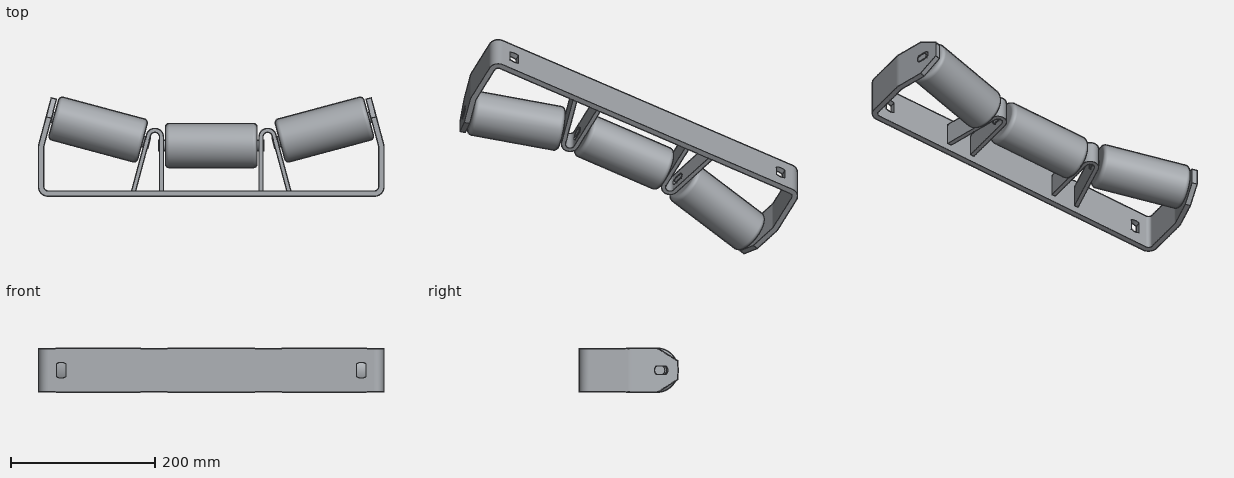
import cadquery as cq
import math

TILT = 15.0
SIN_TILT = math.sin(math.radians(TILT))
COS_TILT = math.cos(math.radians(TILT))

FRAME_LENGTH = 480.0
STRIP_WIDTH = 60.0
FRAME_THICKNESS = 7.5
CORNER_RADIUS = 13.5
BEND_RADIUS = 18.5
BEND_START_Y = 68.0
ARM_LENGTH = 66.0
TIP_WIDTH = 26.5
TIP_TAPER = 27.5

MOUNT_DIAMETER = 22.0
MOUNT_WIDTH = 13.0
MOUNT_X = 208.5

ROLLER_DIAMETER = 62.0
ROLLER_LENGTH = 127.5
ROLLER_ROUNDING = 6.0
SHAFT_DIAMETER = 15.0
SHAFT_FLATS = 11.5
SHAFT_LENGTH = 147.0
END_GAP = 2.5
CENTER_ROLLER_Y = 70.5
SIDE_ROLLER_OFFSET = 49.0

SLOT_TRAVEL = 4.5
SLOT_REACH = 77.0

BRACKET_WIDTH = 36.5
BRACKET_THICKNESS = 6.0
HAIRPIN_RADIUS = 12.0
HAIRPIN_Y = 82.5

HALF_LENGTH = FRAME_LENGTH / 2
BEND_X = -HALF_LENGTH + BEND_RADIUS
HAIRPIN_X = -(ROLLER_LENGTH / 2 + END_GAP + HAIRPIN_RADIUS)


def along_axis(x, y):
    """Distance of a point along the left roller's axis, outward from the origin."""
    return -x * COS_TILT + y * SIN_TILT


def from_bend(radius, rise=0.0):
    """Point on the tilted arm, at a radius from the bend centre and a rise along the arm."""
    x = BEND_X - radius * COS_TILT + rise * SIN_TILT
    y = BEND_START_Y + radius * SIN_TILT + rise * COS_TILT
    return (x, y)


ARM_INNER_RADIUS = BEND_RADIUS - FRAME_THICKNESS
ARM_FACE = along_axis(BEND_X, BEND_START_Y) + ARM_INNER_RADIUS
LEG_FACE = along_axis(HAIRPIN_X, HAIRPIN_Y) + HAIRPIN_RADIUS
SIDE_ROLLER_AXIAL = (ARM_FACE + LEG_FACE) / 2
SIDE_ROLLER_X = -SIDE_ROLLER_AXIAL * COS_TILT + SIDE_ROLLER_OFFSET * SIN_TILT
SIDE_ROLLER_Y = SIDE_ROLLER_AXIAL * SIN_TILT + SIDE_ROLLER_OFFSET * COS_TILT

LEFT_STATION = (-TILT, SIDE_ROLLER_X, SIDE_ROLLER_Y)
CENTER_STATION = (0.0, 0.0, CENTER_ROLLER_Y)
RIGHT_STATION = (TILT, -SIDE_ROLLER_X, SIDE_ROLLER_Y)


def place(shape, station):
    """Move a shape built along X at the origin to a roller station."""
    angle, x, y = station
    return shape.rotate((0, 0, 0), (0, 0, 1), angle).translate((x, y, 0))


def extrude_strip(outline, width):
    """Extrude an open XY outline over a width in Z, centred on Z = 0."""
    return outline.close().extrude(width / 2, both=True)


def mirror_x(shape):
    """Mirror a left-hand shape to the right (+X) side."""
    return shape.mirror("YZ")


def make_rod(diameter, length):
    """Round rod along X, centred on the origin."""
    return cq.Workplane("YZ", origin=(-length / 2, 0, 0)).circle(diameter / 2).extrude(length)


def make_roller():
    """Drum with rounded rims on a shaft whose ends carry two flats."""
    drum = make_rod(ROLLER_DIAMETER, ROLLER_LENGTH).edges("%CIRCLE").fillet(ROLLER_ROUNDING)

    shoulder = ROLLER_LENGTH + 2 * END_GAP
    shaft = make_rod(SHAFT_DIAMETER, SHAFT_LENGTH)
    flats = cq.Workplane("XY").box(SHAFT_LENGTH, SHAFT_DIAMETER, SHAFT_FLATS)
    round_part = cq.Workplane("XY").box(shoulder, SHAFT_DIAMETER, SHAFT_DIAMETER)
    shaft = shaft.intersect(flats.union(round_part))
    return drum.union(shaft)


def make_shaft_slot():
    """Cutter along X in which a shaft end rests at the lower (-Y) end of the slot."""
    slot = (
        cq.Workplane("YZ")
        .center(SLOT_TRAVEL / 2, 0)
        .slot2D(SHAFT_DIAMETER + SLOT_TRAVEL, SHAFT_DIAMETER)
        .extrude(SLOT_REACH, both=True)
    )
    flats = cq.Workplane("XY").box(2 * SLOT_REACH, 2 * (SHAFT_DIAMETER + SLOT_TRAVEL), SHAFT_FLATS)
    return slot.intersect(flats)


def make_mount_slot():
    """Cutter along Y for the left mounting slot."""
    hole = cq.Workplane("XZ").circle(MOUNT_DIAMETER / 2).extrude(2 * FRAME_THICKNESS, both=True)
    sides = cq.Workplane("XY").box(MOUNT_WIDTH, 4 * FRAME_THICKNESS, MOUNT_DIAMETER)
    return hole.intersect(sides).translate((-MOUNT_X, 0, 0))


def make_arm_taper():
    """Cutters for the two corners that taper the tip of the left arm."""
    corner = (
        cq.Workplane("YZ")
        .moveTo(ARM_LENGTH, TIP_WIDTH / 2)
        .lineTo(ARM_LENGTH, STRIP_WIDTH / 2)
        .lineTo(ARM_LENGTH - TIP_TAPER, STRIP_WIDTH / 2)
        .close()
        .extrude(2 * BEND_RADIUS, both=True)
    )
    corners = corner.union(corner.mirror("XY"))
    return place(corners, (-TILT, BEND_X, BEND_START_Y))


def make_frame():
    """Flat back with rounded corners, upright sides and arms bent inward."""
    outer_x = -HALF_LENGTH
    inner_x = outer_x + FRAME_THICKNESS
    corner_x = outer_x + CORNER_RADIUS
    inner_corner_radius = CORNER_RADIUS - FRAME_THICKNESS
    outline = (
        cq.Workplane("XY")
        .moveTo(0, 0)
        .lineTo(corner_x, 0)
        .radiusArc((outer_x, CORNER_RADIUS), CORNER_RADIUS)
        .lineTo(outer_x, BEND_START_Y)
        .radiusArc(from_bend(BEND_RADIUS), BEND_RADIUS)
        .lineTo(*from_bend(BEND_RADIUS, ARM_LENGTH))
        .lineTo(*from_bend(ARM_INNER_RADIUS, ARM_LENGTH))
        .lineTo(*from_bend(ARM_INNER_RADIUS))
        .radiusArc((inner_x, BEND_START_Y), -ARM_INNER_RADIUS)
        .lineTo(inner_x, CORNER_RADIUS)
        .radiusArc((corner_x, FRAME_THICKNESS), -inner_corner_radius)
        .lineTo(0, FRAME_THICKNESS)
    )
    half = extrude_strip(outline, STRIP_WIDTH)
    half = half.cut(make_arm_taper()).cut(make_mount_slot())
    half = half.cut(place(make_shaft_slot(), LEFT_STATION))
    return half.union(mirror_x(half))


def make_left_bracket():
    """Hairpin with an upright leg and a tilted leg, both standing on the frame."""

    def leg_side(radius):
        """Right tangent, crown, left tangent and left foot at one radius of the hairpin."""
        right = (HAIRPIN_X + radius, HAIRPIN_Y)
        crown = (HAIRPIN_X, HAIRPIN_Y + radius)
        left_x = HAIRPIN_X - radius * COS_TILT
        left_y = HAIRPIN_Y + radius * SIN_TILT
        foot_x = left_x - (left_y - FRAME_THICKNESS) * SIN_TILT / COS_TILT
        return right, crown, (left_x, left_y), (foot_x, FRAME_THICKNESS)

    right, crown, left, foot = leg_side(HAIRPIN_RADIUS)
    inner_right, inner_crown, inner_left, inner_foot = leg_side(HAIRPIN_RADIUS - BRACKET_THICKNESS)
    outline = (
        cq.Workplane("XY")
        .moveTo(right[0], FRAME_THICKNESS)
        .lineTo(*right)
        .threePointArc(crown, left)
        .lineTo(*foot)
        .lineTo(*inner_foot)
        .lineTo(*inner_left)
        .threePointArc(inner_crown, inner_right)
        .lineTo(inner_right[0], FRAME_THICKNESS)
    )
    bracket = extrude_strip(outline, BRACKET_WIDTH)
    for station in (LEFT_STATION, CENTER_STATION):
        bracket = bracket.cut(place(make_shaft_slot(), station))
    return bracket


frame = make_frame()
left_bracket = make_left_bracket()
brackets = [left_bracket, mirror_x(left_bracket)]
rollers = [place(make_roller(), station) for station in (LEFT_STATION, CENTER_STATION, RIGHT_STATION)]

result = cq.Compound.makeCompound([body.solids().val() for body in [frame, *brackets, *rollers]])